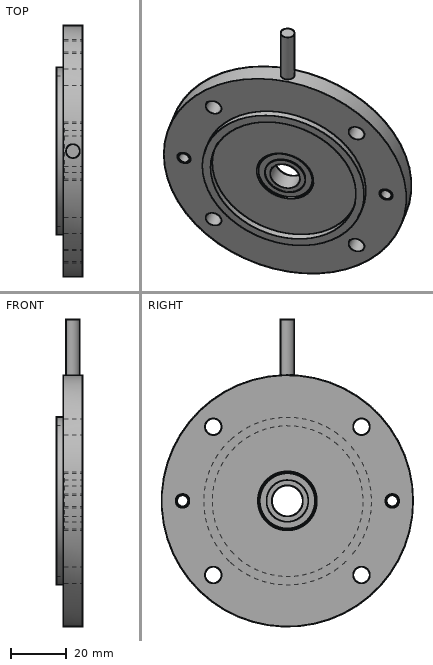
import cadquery as cq
import math

flange_diameter = 90.0
flange_thickness = 7.0
boss_diameter = 60.0
boss_height = 2.4
recess_diameter = 54.0
recess_depth = 2.5
center_hole_diameter = 21.0

mount_hole_diameter = 5.8
mount_circle_diameter = 75.0
mount_hole_count = 4
insert_offset = 37.5
insert_outer_diameter = 5.0
insert_bore_diameter = 4.0

ring_diameter = 19.9
sleeve_diameter = 15.0
sleeve_bore_diameter = 11.0
ring_setback = 0.3
sleeve_projection = 0.4

cable_diameter = 5.0
overall_height = 109.9

flange_radius = flange_diameter / 2
flange_front_x = -flange_thickness / 2
flange_back_x = flange_thickness / 2
boss_front_x = flange_front_x - boss_height
recess_floor_x = boss_front_x + recess_depth
ring_front_x = recess_floor_x + ring_setback
cable_top_z = overall_height - flange_radius


def axial_cylinder(diameter, start_x, end_x, y=0.0, z=0.0):
    """Solid cylinder parallel to X, centered on (y, z)."""
    return (
        cq.Workplane("YZ", origin=(start_x, y, z))
        .circle(diameter / 2)
        .extrude(end_x - start_x)
    )


def axial_tube(outer_diameter, inner_diameter, start_x, end_x, y=0.0):
    """Cylinder parallel to X with a concentric through bore."""
    bore = axial_cylinder(inner_diameter, start_x, end_x, y)
    return axial_cylinder(outer_diameter, start_x, end_x, y).cut(bore)


def make_cable():
    """Straight round cable whose lower end is shaped to rest on the rim."""
    rod = cq.Workplane("XY").circle(cable_diameter / 2).extrude(cable_top_z)
    return rod.cut(axial_cylinder(flange_diameter, flange_front_x, flange_back_x))


def make_housing(insert_positions):
    """Flange and boss with their recess, holes and insert seats."""
    body = axial_cylinder(flange_diameter, flange_front_x, flange_back_x)
    body = body.union(axial_cylinder(boss_diameter, boss_front_x, flange_front_x))
    body = body.cut(axial_cylinder(recess_diameter, boss_front_x, recess_floor_x))
    body = body.cut(axial_cylinder(center_hole_diameter, recess_floor_x, flange_back_x))

    angle_step = 2 * math.pi / mount_hole_count
    for index in range(mount_hole_count):
        angle = (index + 0.5) * angle_step
        y = mount_circle_diameter / 2 * math.cos(angle)
        z = mount_circle_diameter / 2 * math.sin(angle)
        body = body.cut(axial_cylinder(mount_hole_diameter, flange_front_x, flange_back_x, y, z))

    for y in insert_positions:
        body = body.cut(axial_cylinder(insert_outer_diameter, flange_front_x, flange_back_x, y))

    return body


def make_insert(y):
    """Tubular insert filling its seat, flush with both flange faces."""
    return axial_tube(insert_outer_diameter, insert_bore_diameter, flange_front_x, flange_back_x, y)


def make_hub_ring():
    """Ring standing clear of the housing's center hole."""
    return axial_tube(ring_diameter, sleeve_diameter, ring_front_x, flange_back_x)


def make_sleeve():
    """Bored sleeve inside the hub ring, slightly proud of its front face."""
    sleeve_front_x = ring_front_x - sleeve_projection
    return axial_tube(sleeve_diameter, sleeve_bore_diameter, sleeve_front_x, flange_back_x)


insert_positions = (-insert_offset, insert_offset)
cable = make_cable()
housing = make_housing(insert_positions)
inserts = [make_insert(y) for y in insert_positions]
hub_ring = make_hub_ring()
sleeve = make_sleeve()

result = cq.Compound.makeCompound(
    [housing.val(), cable.val(), hub_ring.val(), sleeve.val(), *[insert.val() for insert in inserts]]
)